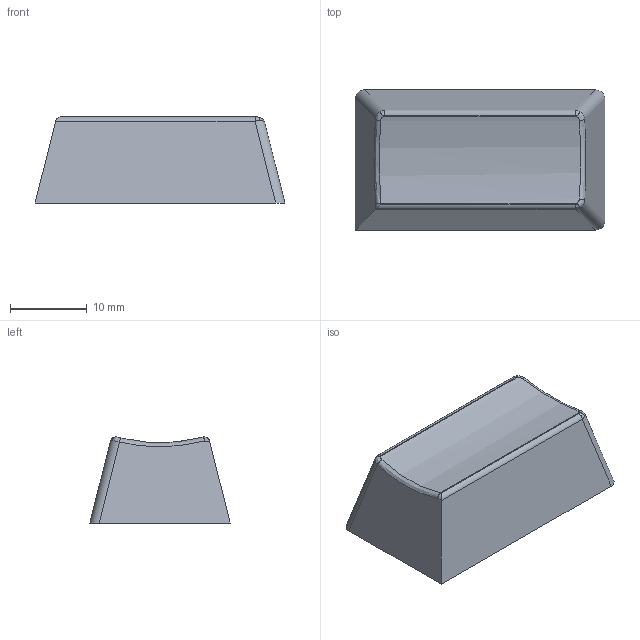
import cadquery as cq

length = 32.59
width = 18.3
height = 11.23
draft_angle = 14.0

dish_width = 11.4
dish_depth = 0.75
dish_radius = (dish_width**2 / 4 + dish_depth**2) / (2 * dish_depth)

corner_radius = 1.25
rim_radius = 0.7

top_zone_height = height - 2 * dish_depth
edge_tolerance = 0.01


def tapered_blank():
    """Rectangular block with all four walls leaning inward by the draft angle."""
    return cq.Workplane("XY").rect(length, width).extrude(height, taper=draft_angle)


def is_sharp_corner(edge):
    """True for the (-X, -Y) wall corner, the one that stays unrounded."""
    center = edge.Center()
    return center.x < 0 and center.y < 0


def round_corners(body):
    """Round three of the four sloping wall corners."""
    sloping_edges = body.edges("not #Z").vals()
    rounded_edges = [edge for edge in sloping_edges if not is_sharp_corner(edge)]
    return body.newObject(rounded_edges).fillet(corner_radius)


def cut_dish(body):
    """Sink a concave cylinder into the top, right through both end walls."""
    roller = (
        cq.Workplane("YZ")
        .center(0, height - dish_depth + dish_radius)
        .circle(dish_radius)
        .extrude(length / 2, both=True)
    )
    return body.cut(roller)


def is_dish_side(edge):
    """True for the straight sides of the dish, which stay sharp."""
    center = edge.Center()
    return abs(center.x) < length / 4 and abs(center.y) < dish_width / 2 + edge_tolerance


def top_edges(body):
    """All edges at the top of the body, dish included."""
    return [edge for edge in body.edges().vals() if edge.Center().z > top_zone_height]


def round_rim(body):
    """Round the edge where the top meets the walls, all around."""
    rim_edges = [edge for edge in top_edges(body) if not is_dish_side(edge)]
    return body.newObject(rim_edges).fillet(rim_radius)


result = round_rim(cut_dish(round_corners(tapered_blank())))